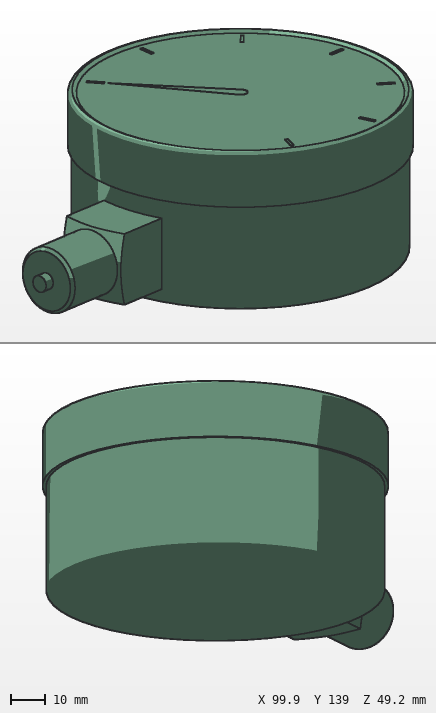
import cadquery as cq
import math

case_height = 49.2
bezel_radius = 49.97
bezel_height = 17.1
body_radius = 48.9
body_height = case_height - bezel_height
bezel_fillet = 1.3
body_fillet = 0.8

recess_top_radius = 48.6
dial_radius = 47.4
dial_depth = 0.8

marking_height = 0.1
tick_count = 7
tick_step = 40
first_tick_angle = -30
tick_inner_radius = 40.0
tick_outer_radius = 45.2
tick_width = 1.0
pointer_angle = 210
pointer_length = 38.9
pointer_hub_radius = 2.1

connector_z = 15.2
square_side = 22.0
square_end = 66.2
square_corner_setback = 2.0
stem_radius = 10.0
stem_end = 85.9
stem_chamfer = 1.0
tip_radius = 2.5
overall_length = 139
tip_end = overall_length - bezel_radius

dial_z = case_height - dial_depth


def make_case():
    body = cq.Workplane("XY").circle(body_radius).extrude(body_height)
    body = body.faces("<Z").edges().fillet(body_fillet)
    bezel = (
        cq.Workplane("XY", origin=(0, 0, case_height - bezel_height))
        .circle(bezel_radius)
        .extrude(bezel_height)
        .faces(">Z").edges().fillet(bezel_fillet)
    )
    recess = (
        cq.Workplane("XY", origin=(0, 0, dial_z))
        .circle(dial_radius)
        .workplane(offset=dial_depth)
        .circle(recess_top_radius)
        .loft()
    )
    return body.union(bezel).cut(recess)


def make_tick(angle):
    length = tick_outer_radius - tick_inner_radius
    return (
        cq.Workplane("XY", origin=(0, 0, dial_z))
        .center((tick_inner_radius + tick_outer_radius) / 2, 0)
        .rect(length, tick_width)
        .extrude(marking_height)
        .rotate((0, 0, 0), (0, 0, 1), angle)
    )


def make_pointer():
    tangent_x = pointer_hub_radius ** 2 / pointer_length
    tangent_y = math.sqrt(pointer_hub_radius ** 2 - tangent_x ** 2)
    return (
        cq.Workplane("XY", origin=(0, 0, dial_z))
        .moveTo(pointer_length, 0)
        .lineTo(tangent_x, tangent_y)
        .threePointArc((-pointer_hub_radius, 0), (tangent_x, -tangent_y))
        .close()
        .extrude(marking_height)
        .rotate((0, 0, 0), (0, 0, 1), pointer_angle)
    )


def make_square():
    corner_radius = square_side / math.sqrt(2)
    block = cq.Workplane("XZ").rect(square_side, square_side).extrude(square_end)
    envelope = (
        cq.Workplane("XY")
        .polyline([
            (0, 0),
            (corner_radius, 0),
            (corner_radius, square_corner_setback - square_end),
            (stem_radius, -square_end),
            (0, -square_end),
        ])
        .close()
        .revolve(360, (0, 0, 0), (0, 1, 0))
    )
    return block.intersect(envelope)


def make_connector():
    stem = cq.Workplane("XZ").circle(stem_radius).extrude(stem_end)
    stem = stem.faces("<Y").edges().chamfer(stem_chamfer)
    tip = cq.Workplane("XZ").circle(tip_radius).extrude(tip_end)
    return make_square().union(stem).union(tip).translate((0, 0, connector_z))


result = make_case().union(make_connector()).union(make_pointer())
for tick in range(tick_count):
    result = result.union(make_tick(first_tick_angle + tick * tick_step))